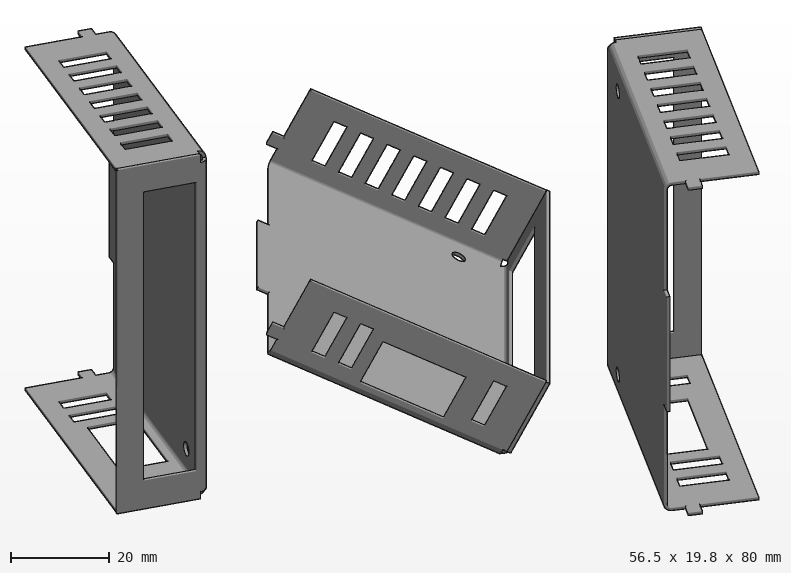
import cadquery as cq

thickness = 0.75
bend_inner = 1.0
bend_outer = bend_inner + thickness
edge_round = 0.15
tolerance = 1e-4

body_length = 54.0
depth = 19.75
height = 80.0
right = body_length / 2
left = -right
back = depth / 2
front = -back
top = height / 2
bend_line = back - bend_outer

corner_gap = 0.1
relief_size = bend_outer

tab_reach = 2.5
plate_tab_height = 28.0
flange_tab_width = 3.0
flange_tab_from_back = 6.0

hole_diameter = 3.0
hole_from_right = 11.25
hole_z = 34.5

wall_window_height = 67.0
wall_window_width = 11.3
wall_window_from_front = 5.75
wall_window_center_z = 0.25

slot_width = 3.0
slot_length = 10.25
slot_pitch = 6.0
slot_count = 7
first_slot_from_left = 9.0
slot_from_front = 4.5

connector_length = 18.8
connector_width = 10.5
connector_from_left = 19.4
connector_from_front = 6.25
connector_slots = (2, 3, 4, 5)


def block(x_range, y_range, z_range):
    """Box spanning the given coordinate ranges."""
    (x0, x1), (y0, y1), (z0, z1) = x_range, y_range, z_range
    box = cq.Workplane("XY").box(x1 - x0, y1 - y0, z1 - z0, centered=False)
    return box.translate((x0, y0, z0))


def make_shell():
    """Open tray with bends along the three folded edges of the back plate."""
    outer = block((left, right), (front, back), (-top, top))
    outer = outer.faces(">Y").edges("not <X").fillet(bend_outer)
    inner_top = top - thickness
    inner = block((left, right - thickness), (front, back - thickness), (-inner_top, inner_top))
    inner = inner.faces(">Y").edges("not <X").fillet(bend_inner)
    return outer.cut(inner)


def from_rim(side, distance):
    """Z range from the upper (side=1) or lower (side=-1) outer face inward."""
    return sorted((side * top, side * (top - distance)))


def corner_slit(side):
    """Narrow gap between a flange end and the end wall."""
    x1 = right - thickness
    return block((x1 - corner_gap, x1), (front, bend_line), from_rim(side, thickness))


def corner_relief(side):
    """Square notch clearing both bends at one back corner."""
    return block((right - relief_size, right), (back - relief_size, back), from_rim(side, relief_size))


def plate_tab():
    half = plate_tab_height / 2
    return block((left - tab_reach, left), (back - thickness, back), (-half, half))


def flange_tab(side):
    """Small tab with rounded tip corners on the -X end of a flange."""
    y1 = back - flange_tab_from_back + flange_tab_width / 2
    tab = block((left - tab_reach, left), (y1 - flange_tab_width, y1), from_rim(side, thickness))
    return tab.edges("|Z and <X").fillet(edge_round)


def flange_opening(side, x0, length, y0, width):
    """Rectangular cutter with rounded corners through one flange."""
    cutter = block((x0, x0 + length), (y0, y0 + width), from_rim(side, thickness))
    return cutter.edges("|Z").fillet(edge_round)


def cut_flange_slots(body, side, skipped=()):
    for index in range(slot_count):
        if index not in skipped:
            x0 = left + first_slot_from_left + index * slot_pitch - slot_width / 2
            body = body.cut(flange_opening(side, x0, slot_width, front + slot_from_front, slot_length))
    return body


def connector_window():
    x0 = left + connector_from_left
    y0 = front + connector_from_front
    return flange_opening(-1, x0, connector_length, y0, connector_width)


def wall_window():
    z0 = wall_window_center_z - wall_window_height / 2
    y0 = front + wall_window_from_front
    y_range = (y0, y0 + wall_window_width)
    window = block((right - thickness, right), y_range, (z0, z0 + wall_window_height))
    return window.edges("|X").fillet(edge_round)


def mounting_holes():
    x = right - hole_from_right
    holes = cq.Workplane("XZ", origin=(0, back, 0)).pushPoints([(x, hole_z), (x, -hole_z)])
    return holes.circle(hole_diameter / 2).extrude(thickness)


def is_sheet_rim(edge):
    """True for edges where a sheet face meets a cut end, outside the bends and corner reliefs."""
    if abs(edge.Length() - thickness) < tolerance:
        return False
    box = edge.BoundingBox()
    on_open_end = box.xmax < left + tolerance
    on_flange_or_wall = box.ymax < bend_line + tolerance and box.ymin < bend_line - tolerance
    return on_open_end or on_flange_or_wall


def round_sheet_rims(body):
    rims = [edge for edge in body.edges().vals() if is_sheet_rim(edge)]
    return body.newObject(rims).fillet(edge_round)


tray = make_shell().union(plate_tab())
for flange_side in (1, -1):
    tray = tray.union(flange_tab(flange_side))
    tray = tray.cut(corner_slit(flange_side))
    tray = tray.cut(corner_relief(flange_side))
tray = cut_flange_slots(tray, 1)
tray = cut_flange_slots(tray, -1, connector_slots)
tray = tray.cut(connector_window()).cut(wall_window())
tray = round_sheet_rims(tray)
result = tray.cut(mounting_holes())